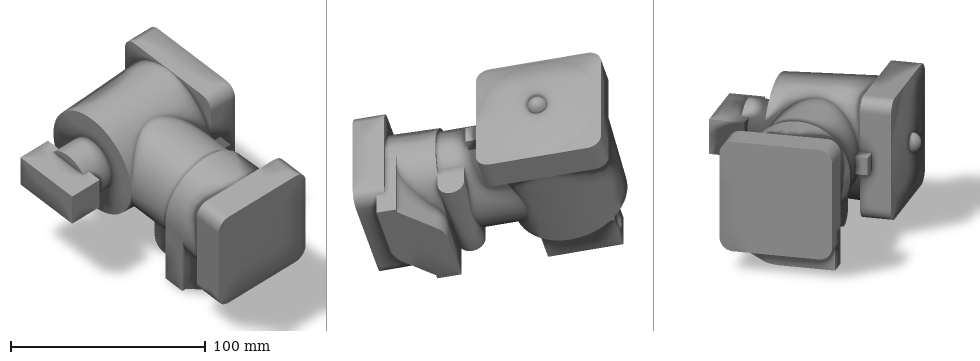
import cadquery as cq
import math


arm_radius = 26.1
barrel_front_radius = 30.0
barrel_rear_radius = 32.6
barrel_front_y = -26.1
barrel_rear_y = 26.1

flange_corner_radius = 7.1
rear_flange_side = 66.3
rear_flange_thickness = 16.6
end_flange_side = 60.1
end_flange_thickness = 16.7
overall_length = 134.7
arm_end_x = overall_length - rear_flange_side / 2
end_flange_x = arm_end_x - end_flange_thickness
rear_face_y = barrel_rear_y + rear_flange_thickness

collar_start_x = 58.3
collar_start_radius = 27.9
collar_end_radius = 28.5

foot_front_y = -27.7
foot_rear_y = 28.3
foot_bottom_z = -40.0
foot_toe_width = 12.8
foot_total_width = 31.1
foot_toe_depth = 2.4
inner_bend_radius = 12.4
inner_bend_y = 0.4
outer_bend_radius = 15.2

tongue_width = 14.0
tongue_top_z = -12.8
tongue_bottom_z = -29.6
lug_end_x = 41.1
lug_root_y = 21.5
lug_rear_y = 32.5
lug_height = 9.4

dome_height = 2.0
button_radius = 5.05
button_rim_y = 45.5
button_tip_y = 49.6

shaft_radius = 15.02
seat_height = 0.4
shaft_end_y = -42.8
bar_length = 39.9
bar_section = 19.0
bar_front_y = -57.9
bar_hole_radius = 5.3
bar_hole_depth = bar_length / 2

shaft_start_y = barrel_front_y - seat_height


def rod_along_y(radius, start_y, end_y):
    """Solid cylinder on the barrel axis."""
    return cq.Workplane("XZ", origin=(0, start_y, 0)).circle(radius).extrude(start_y - end_y)


def make_barrel():
    profile = [
        (0, barrel_front_y),
        (barrel_front_radius, barrel_front_y),
        (barrel_rear_radius, barrel_rear_y),
        (0, barrel_rear_y),
    ]
    return cq.Workplane("XY").polyline(profile).close().revolve(360, (0, 0), (0, 1))


def make_arm_tube():
    """Straight arm, stepping out to the flared collar."""
    profile = [
        (0, 0),
        (0, arm_radius),
        (collar_start_x, arm_radius),
        (collar_start_x, collar_start_radius),
        (end_flange_x, collar_end_radius),
        (end_flange_x, 0),
    ]
    return cq.Workplane("XY").polyline(profile).close().revolve(360, (0, 0), (1, 0))


def make_rear_flange():
    return (
        cq.Workplane("XZ", origin=(0, barrel_rear_y, 0))
        .rect(rear_flange_side, rear_flange_side)
        .extrude(-rear_flange_thickness)
        .edges("|Y")
        .fillet(flange_corner_radius)
    )


def make_end_flange():
    return (
        cq.Workplane("YZ", origin=(end_flange_x, 0, 0))
        .rect(end_flange_side, end_flange_side)
        .extrude(end_flange_thickness)
        .edges("|X")
        .fillet(flange_corner_radius)
    )


def make_foot():
    """Foot with a straight toe, a 45 degree shank on both sides and a straight heel."""
    toe_x = collar_start_x + foot_toe_width
    heel_x = collar_start_x + foot_total_width
    toe_y = foot_front_y + foot_toe_depth
    half_bend = math.radians(22.5)
    full_bend = math.radians(45)

    def inner_point(angle):
        return (
            collar_start_x + inner_bend_radius * (1 - math.cos(angle)),
            inner_bend_y + inner_bend_radius * math.sin(angle),
        )

    outer_start_x = heel_x - outer_bend_radius * (1 - math.cos(full_bend))
    outer_start_y = toe_y + outer_start_x - toe_x
    outer_end_y = outer_start_y + outer_bend_radius * math.sin(full_bend)
    outer_middle = (
        heel_x - outer_bend_radius * (1 - math.cos(half_bend)),
        outer_end_y - outer_bend_radius * math.sin(half_bend),
    )
    inner_end = inner_point(full_bend)
    inner_heel_x = inner_end[0] + barrel_rear_y - inner_end[1]
    return (
        cq.Workplane("XY", origin=(0, 0, foot_bottom_z))
        .moveTo(collar_start_x, foot_front_y)
        .lineTo(toe_x, foot_front_y)
        .lineTo(toe_x, toe_y)
        .lineTo(outer_start_x, outer_start_y)
        .threePointArc(outer_middle, (heel_x, outer_end_y))
        .lineTo(heel_x, foot_rear_y)
        .lineTo(inner_heel_x, foot_rear_y)
        .lineTo(inner_heel_x, barrel_rear_y)
        .lineTo(*inner_end)
        .threePointArc(inner_point(half_bend), (collar_start_x, inner_bend_y))
        .close()
        .extrude(-foot_bottom_z)
    )


def make_tongue():
    """Round-bottomed tongue whose top edges lie on the arm surface."""
    half_depth = math.sqrt(arm_radius**2 - tongue_top_z**2)
    left_x = collar_start_x - tongue_width
    arc_z = tongue_bottom_z + tongue_width / 2
    return (
        cq.Workplane("XZ")
        .moveTo(left_x, tongue_top_z)
        .lineTo(left_x, arc_z)
        .threePointArc((left_x + tongue_width / 2, tongue_bottom_z), (collar_start_x, arc_z))
        .lineTo(collar_start_x, tongue_top_z)
        .close()
        .extrude(half_depth, both=True)
    )


def make_lug():
    """Lug beside the rear flange, rooted in the side of the arm."""
    return cq.Workplane("XY", origin=(0, lug_root_y, 0)).box(
        lug_end_x, lug_rear_y - lug_root_y, lug_height, centered=(False, False, True)
    )


def make_housing():
    """Barrel with its flange, lug and shaft seat."""
    shaft_seat = rod_along_y(shaft_radius, barrel_front_y, shaft_start_y)
    return make_barrel().union(make_rear_flange()).union(make_lug()).union(shaft_seat)


def make_arm(housing):
    """Arm with its flange, foot and tongue, cut to fit against the housing."""
    return (
        make_arm_tube()
        .union(make_end_flange())
        .union(make_foot())
        .union(make_tongue())
        .cut(housing)
    )


def make_dome():
    """Shallow spherical dome on the rear flange."""
    sphere_radius = (barrel_rear_radius**2 + dome_height**2) / (2 * dome_height)
    sphere_center_y = rear_face_y + dome_height - sphere_radius
    middle_x = barrel_rear_radius / 2
    middle_y = sphere_center_y + math.sqrt(sphere_radius**2 - middle_x**2)
    return (
        cq.Workplane("XY")
        .moveTo(0, rear_face_y)
        .lineTo(barrel_rear_radius, rear_face_y)
        .threePointArc((middle_x, middle_y), (0, rear_face_y + dome_height))
        .close()
        .revolve(360, (0, 0), (0, 1))
    )


def make_button():
    """Round-topped button rising from the dome."""
    cap_height = button_tip_y - button_rim_y
    cap_radius = (button_radius**2 + cap_height**2) / (2 * cap_height)
    middle_x = button_radius / 2
    middle_y = button_tip_y - cap_radius + math.sqrt(cap_radius**2 - middle_x**2)
    return (
        cq.Workplane("XY")
        .moveTo(0, rear_face_y + dome_height / 2)
        .lineTo(button_radius, rear_face_y + dome_height / 2)
        .lineTo(button_radius, button_rim_y)
        .threePointArc((middle_x, middle_y), (0, button_tip_y))
        .close()
        .revolve(360, (0, 0), (0, 1))
    )


def make_cover():
    return make_dome().union(make_button())


def make_shaft():
    return rod_along_y(shaft_radius, shaft_start_y, shaft_end_y)


def make_bar(shaft):
    """Square cross bar, recessed for the shaft end, with a blind hole in one end."""
    bar_center_y = bar_front_y + bar_section / 2
    bar = cq.Workplane("XY", origin=(0, bar_center_y, 0)).box(bar_length, bar_section, bar_section)
    hole = (
        cq.Workplane("YZ", origin=(-bar_length / 2, bar_center_y, 0))
        .circle(bar_hole_radius)
        .extrude(bar_hole_depth)
    )
    return bar.cut(hole).cut(shaft)


housing = make_housing()
arm = make_arm(housing)
cover = make_cover()
shaft = make_shaft()
bar = make_bar(shaft)

result = cq.Compound.makeCompound(
    [housing.val(), arm.val(), cover.val(), shaft.val(), bar.val()]
)